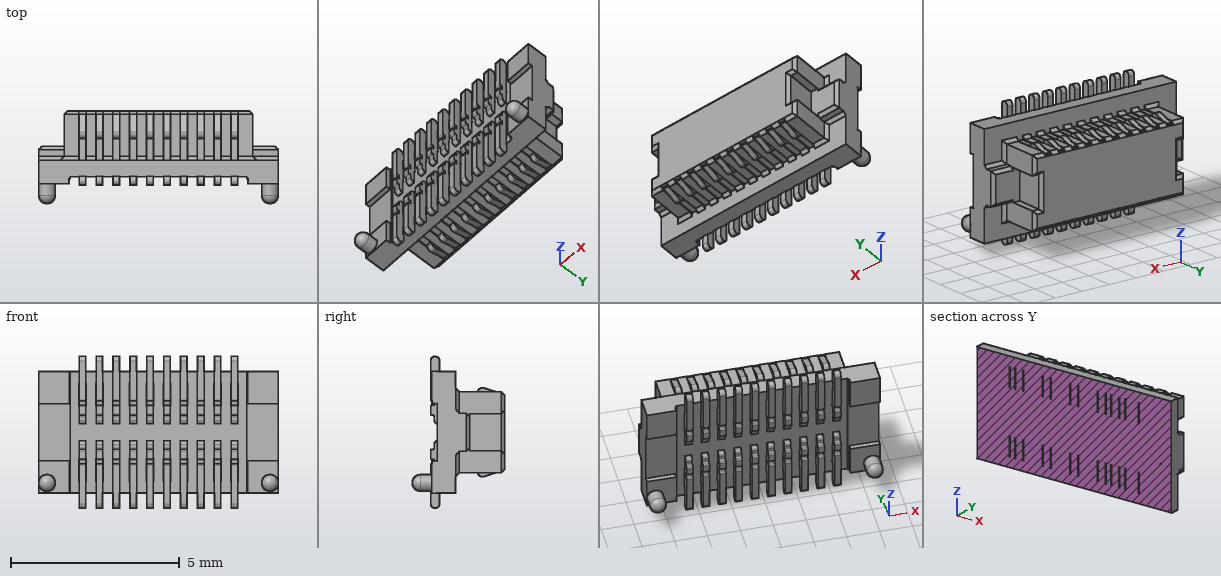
import cadquery as cq
import math


EDGE = 0.11

LENGTH = 7.1
PLATE_HEIGHT = 3.6
PLATE_BACK = 0.7
END_FLOOR = 0.15
MIDDLE_FLOOR = 0.205
FOOT_LENGTH = 0.9
END_FLOOR_LENGTH = 0.945
FOOT_SPACING = 1.69

TONGUE_LENGTH = 5.595
TONGUE_HEIGHT = 2.4
TONGUE_BACK = 2.16
RECESS_DEPTH = 0.25
RECESS_HEIGHT = 1.09

RIB_HEIGHT = 1.135
RIB_BACK = 1.115

PEG_RADIUS = 0.25
PEG_STRAIGHT = 0.34
PEG_X = LENGTH / 2 - PEG_RADIUS
PEG_Z = -1.5

CONTACTS_PER_ROW = 10
ROW_LENGTH = 4.5
CONTACT_WIDTH = 0.2
CLEARANCE = 0.011
SLOT_WIDTH = CONTACT_WIDTH + 2 * CLEARANCE

TAIL_FRONT = -0.04
TAIL_BACK = 0.23
TAIL_TIP = 2.25
NOTCH_FLOOR = 0.065
NOTCH_CENTER = 0.865
NOTCH_WIDTH = 0.12
NOTCH_FILLET = 0.02
STEP_CENTER = 0.505
STEP_RADIUS = 0.04
TOE_RADIUS = 0.11
TOE_END = 0.25

SLOT_BOTTOM = 0.79
SLOT_TOP = 1.45
SLOT_DEPTH = 0.355

GROOVE_FLOOR = TONGUE_HEIGHT / 2 - EDGE
ARM_BOTTOM = 0.92
ARM_TOP = 1.18
ARM_END = 2.05
BUMP_RADIUS = 0.15
BUMP_Y = 1.5
BUMP_Z = 1.17
RAMP_ANGLE = math.radians(18)
BACK_ANGLE = math.radians(65)

ROW_X = [
    ROW_LENGTH * (i / (CONTACTS_PER_ROW - 1) - 0.5)
    for i in range(CONTACTS_PER_ROW)
]


def block(x0, x1, y0, y1, z0, z1):
    """Axis-aligned box between two opposite corners."""
    box = cq.Workplane("XY").box(x1 - x0, y1 - y0, z1 - z0, centered=False)
    return box.translate((x0, y0, z0))


def centered_block(length, y0, y1, height):
    """Box centred on X = 0 and Z = 0."""
    return block(-length / 2, length / 2, y0, y1, -height / 2, height / 2)


def with_mirror(solid, plane):
    """The solid together with its mirror image."""
    return solid.union(solid.mirror(plane))


def y_plane(y):
    """Workplane at level y that extrudes towards +Y."""
    return cq.Workplane(cq.Plane(origin=(0, y, 0), xDir=(1, 0, 0), normal=(0, 1, 0)))


def base_plate():
    plate = centered_block(LENGTH, 0, PLATE_BACK, PLATE_HEIGHT)
    middle_length = LENGTH - 2 * END_FLOOR_LENGTH
    plate = plate.cut(centered_block(middle_length, 0, MIDDLE_FLOOR, PLATE_HEIGHT))
    plate = plate.cut(centered_block(LENGTH, 0, END_FLOOR, FOOT_SPACING))
    between_feet = LENGTH - 2 * FOOT_LENGTH
    return plate.cut(centered_block(between_feet, 0, END_FLOOR, PLATE_HEIGHT))


def tongue():
    body = centered_block(TONGUE_LENGTH, PLATE_BACK, TONGUE_BACK, TONGUE_HEIGHT)
    end = TONGUE_LENGTH / 2
    recess = block(
        end - RECESS_DEPTH, end, RIB_BACK, TONGUE_BACK, -RECESS_HEIGHT / 2, RECESS_HEIGHT / 2
    )
    body = body.cut(with_mirror(recess, "YZ"))
    body = body.faces(">Y").chamfer(EDGE)
    flare = (
        y_plane(PLATE_BACK)
        .rect(TONGUE_LENGTH + 2 * EDGE, TONGUE_HEIGHT + 2 * EDGE)
        .extrude(EDGE, taper=45)
    )
    return body.union(flare)


def end_rib():
    half = RIB_HEIGHT / 2
    upper_outline = [
        (PLATE_BACK, half + EDGE),
        (PLATE_BACK + EDGE, half),
        (RIB_BACK - EDGE, half),
        (RIB_BACK, half - EDGE),
    ]
    lower_outline = [(y, -z) for y, z in reversed(upper_outline)]
    rib = cq.Workplane("YZ").polyline(upper_outline + lower_outline).close()
    rib = rib.extrude(LENGTH / 2, both=True)
    return rib.faces(">Y").edges("|Z").chamfer(EDGE)


def peg():
    straight = y_plane(0).center(PEG_X, -PEG_Z).circle(PEG_RADIUS).extrude(-PEG_STRAIGHT)
    tip = cq.Workplane("XY").sphere(PEG_RADIUS).translate((PEG_X, -PEG_STRAIGHT, PEG_Z))
    return straight.union(tip)


def extrude_contact(profile):
    return profile.close().extrude(CONTACT_WIDTH / 2, both=True)


def contact_tail():
    """Solder tail with a rounded tip, a notch, a step and a rounded toe."""
    r = STEP_RADIUS
    f = NOTCH_FILLET
    notch_low = NOTCH_CENTER - NOTCH_WIDTH / 2
    notch_high = NOTCH_CENTER + NOTCH_WIDTH / 2
    middle = (TAIL_FRONT + TAIL_BACK) / 2
    tip_radius = (TAIL_BACK - TAIL_FRONT) / 2
    toe_start = TOE_END + TOE_RADIUS
    toe_y = NOTCH_FLOOR + TOE_RADIUS
    toe_mid = TOE_RADIUS * math.sqrt(0.5)
    corner = r * (1 - math.sqrt(0.5))
    fillet = f * (1 - math.sqrt(0.5))
    profile = (
        cq.Workplane("YZ")
        .moveTo(TAIL_BACK, TAIL_TIP - tip_radius)
        .threePointArc((middle, TAIL_TIP), (TAIL_FRONT, TAIL_TIP - tip_radius))
        .lineTo(TAIL_FRONT, notch_high + r)
        .threePointArc((TAIL_FRONT + corner, notch_high + corner), (TAIL_FRONT + r, notch_high))
        .lineTo(NOTCH_FLOOR - f, notch_high)
        .threePointArc((NOTCH_FLOOR - fillet, notch_high - fillet), (NOTCH_FLOOR, notch_high - f))
        .lineTo(NOTCH_FLOOR, notch_low + f)
        .threePointArc((NOTCH_FLOOR - fillet, notch_low + fillet), (NOTCH_FLOOR - f, notch_low))
        .lineTo(TAIL_FRONT + r, notch_low)
        .threePointArc((TAIL_FRONT + corner, notch_low - corner), (TAIL_FRONT, notch_low - r))
        .lineTo(TAIL_FRONT, STEP_CENTER + r)
        .threePointArc((TAIL_FRONT + corner, STEP_CENTER + corner), (TAIL_FRONT + r, STEP_CENTER))
        .lineTo(NOTCH_FLOOR - r, STEP_CENTER)
        .threePointArc((NOTCH_FLOOR - corner, STEP_CENTER - corner), (NOTCH_FLOOR, STEP_CENTER - r))
        .lineTo(NOTCH_FLOOR, toe_start)
        .threePointArc((toe_y - toe_mid, toe_start - toe_mid), (toe_y, TOE_END))
        .lineTo(TAIL_BACK, TOE_END)
    )
    return extrude_contact(profile)


def contact_arm():
    """Shank in the plate slot and an arm in the tongue groove with a contact bump."""
    slot_end = MIDDLE_FLOOR + SLOT_DEPTH
    shank = block(
        -CONTACT_WIDTH / 2, CONTACT_WIDTH / 2, MIDDLE_FLOOR, slot_end, SLOT_BOTTOM, SLOT_TOP
    )
    ramp_y = BUMP_Y + BUMP_RADIUS * math.sin(RAMP_ANGLE)
    ramp_z = BUMP_Z + BUMP_RADIUS * math.cos(RAMP_ANGLE)
    ramp_end_z = ramp_z - (ARM_END - ramp_y) * math.tan(RAMP_ANGLE)
    back_y = BUMP_Y - BUMP_RADIUS * math.sin(BACK_ANGLE)
    back_z = BUMP_Z + BUMP_RADIUS * math.cos(BACK_ANGLE)
    back_foot_y = back_y - (back_z - ARM_TOP) / math.tan(BACK_ANGLE)
    profile = (
        cq.Workplane("YZ")
        .moveTo(slot_end, ARM_BOTTOM)
        .lineTo(slot_end, ARM_TOP)
        .lineTo(back_foot_y, ARM_TOP)
        .lineTo(back_y, back_z)
        .threePointArc((BUMP_Y, BUMP_Z + BUMP_RADIUS), (ramp_y, ramp_z))
        .lineTo(ARM_END, ramp_end_z)
        .lineTo(ARM_END, ARM_BOTTOM)
    )
    return shank.union(extrude_contact(profile))


def contact_opening():
    """Plate slot and tongue groove that receive one contact."""
    half = SLOT_WIDTH / 2
    slot = block(-half, half, MIDDLE_FLOOR, MIDDLE_FLOOR + SLOT_DEPTH, SLOT_BOTTOM, SLOT_TOP)
    groove_top = TONGUE_HEIGHT / 2 + EDGE
    groove = block(-half, half, PLATE_BACK, TONGUE_BACK, GROOVE_FLOOR, groove_top)
    return slot.union(groove)


housing = base_plate().union(tongue()).union(end_rib())
housing = housing.union(with_mirror(peg(), "YZ"))

opening = with_mirror(contact_opening(), "XY")
contact = with_mirror(contact_tail().union(contact_arm()), "XY")
for x in ROW_X:
    housing = housing.cut(opening.translate((x, 0, 0)))
    housing = housing.union(contact.translate((x, 0, 0)))

result = housing